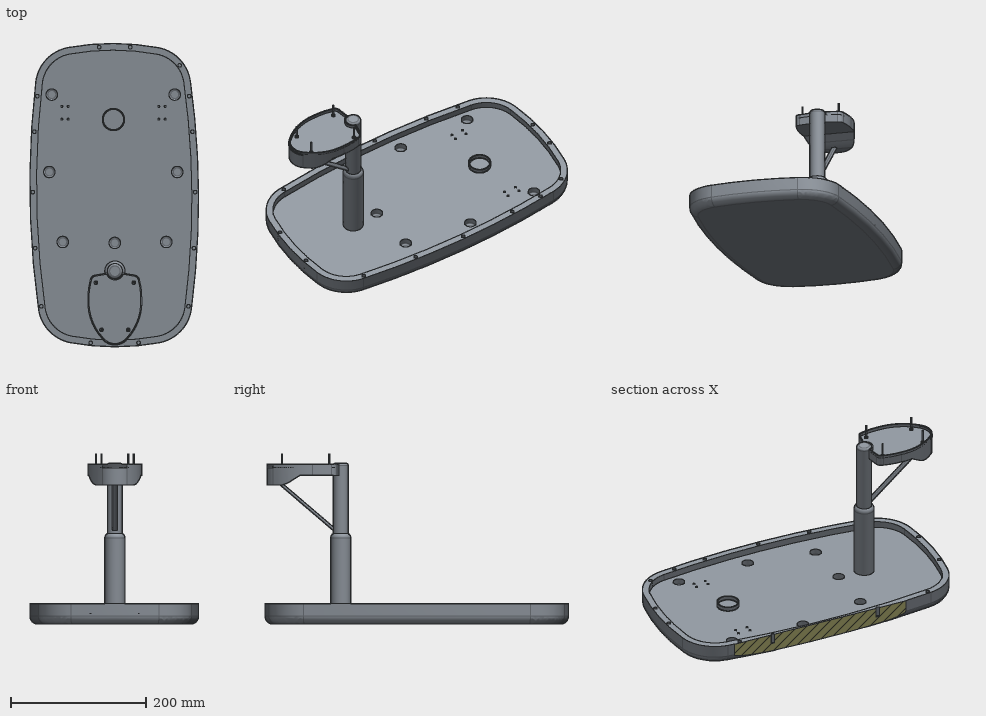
import cadquery as cq

TRAY_HEIGHT = 30.6
TRAY_FLOOR_Z = 20.6
TRAY_RIM_WIDTH = 10.0
TRAY_BOTTOM_RADIUS = 12.0
TRAY_CORNER_Y = 207.8
TRAY_BACK_LEFT_X = -110.7
TRAY_BACK_RIGHT_X = 106.6
TRAY_FRONT_LEFT_X = -105.8
TRAY_FRONT_RIGHT_X = 108.4
TRAY_END_BULGE = 16.45
TRAY_LEFT_BULGE = 16.4
TRAY_RIGHT_BULGE = 17.3
TRAY_CORNER_RADIUS = 59.4

RIM_HOLE_DIAMETER = 5.4
RIM_HOLE_DEPTH = 15.0
RIM_HOLES = [
    (-22.1, 218.6), (23.8, 218.6), (96.6, 191.7),
    (-113.5, 146.3), (110.8, 146.3),
    (-118.0, 93.7), (115.5, 93.7),
    (-120.2, 4.5), (119.6, 4.5),
    (-116.9, -78.2), (117.8, -78.2),
    (-107.7, -164.3), (109.7, -164.3),
    (-34.7, -218.2), (36.0, -218.2),
]

FOOT_HOLE_DIAMETER = 17.0
FOOT_HOLE_DEPTH = 11.0
FOOT_HOLE_BOTTOM_RADIUS = 2.5
FOOT_HOLES = [
    (-92.2, 148.6), (89.4, 148.6),
    (-95.8, 34.2), (93.2, 34.2),
    (-76.0, -69.2), (77.0, -69.2),
    (0.9, -70.6),
]

SCREW_HOLE_DIAMETER = 2.9
SCREW_HOLE_DEPTH = 8.0
SCREW_HOLE_SPACING_X = 9.4
SCREW_HOLE_SPACING_Y = 18.7
SCREW_HOLE_GROUPS = [(-72.7, 121.7), (70.6, 121.7)]

RING_OUTER_DIAMETER = 33.0
RING_INNER_DIAMETER = 30.0
RING_HEIGHT = 6.5
RING_CENTER = (-1.1, 111.7)

COLUMN_X = 1.0
COLUMN_Y = -112.3
TUBE_DIAMETER = 30.0
TUBE_TOP_Z = 135.0
TUBE_TOP_RADIUS = 7.5
POST_DIAMETER = 22.5
POST_TOP_Z = 238.0
POST_TOP_RADIUS = 3.5

HEAD_TOP_Z = 236.4
HEAD_BACK_DEPTH = 16.4
HEAD_FRONT_DEPTH = 31.0
HEAD_HALF_WIDTH = 39.8
HEAD_WIDEST_Y = -42.0
HEAD_BACK_Y = -0.8
HEAD_SHOULDER = (29.5, -5.8)
HEAD_SHOULDER_MID = (34.0, -8.3)
HEAD_SIDE_START = (36.5, -14.0)
HEAD_SIDE_BACK_MID = (39.2, -28.0)
HEAD_SIDE_FRONT_MID = (34.3, -75.0)
HEAD_NOSE_HALF_WIDTH = 18.2
HEAD_NOSE_START_Y = -100.2
HEAD_NOSE_Y = -108.6
HEAD_RAMP_START_Y = -60.0
HEAD_RAMP_BEND = (-73.0, -24.5)
HEAD_RAMP_MID = (-80.0, -28.5)
HEAD_RAMP_END_Y = -89.0
HEAD_WALL = 1.7
HEAD_POCKET_DEPTH = 4.6

NOSE_BAND_TOP_DEPTH = 2.7
NOSE_BAND_HEIGHT = 2.7
NOSE_BAND_PROUD = 0.6

PIN_DIAMETER = 1.8
PIN_RISE = 15.0
PIN_SEAT_DIAMETER = 5.4
PIN_SEAT_DEPTH = 1.0
PINS = [(-28.0, -16.9), (28.0, -16.9), (-19.8, -86.7), (19.8, -86.7)]

STRUT_WIDTH = 8.0
STRUT_THICKNESS = 4.4
STRUT_LOW = (-11.0, 141.0)
STRUT_HIGH = (-86.4, 205.5)
STRUT_OVERRUN = 8.0


def column_plane(z):
    return cq.Workplane("XY", origin=(COLUMN_X, COLUMN_Y, z))


def screw_hole_places():
    half_x = SCREW_HOLE_SPACING_X / 2
    half_y = SCREW_HOLE_SPACING_Y / 2
    return [
        (x + side_x * half_x, y + side_y * half_y)
        for x, y in SCREW_HOLE_GROUPS
        for side_x in (-1, 1)
        for side_y in (-1, 1)
    ]


def blind_holes(places, diameter, top_z, depth):
    """Cutters for flat holes that go down from top_z."""
    level = cq.Workplane("XY", origin=(0, 0, top_z))
    return level.pushPoints(places).circle(diameter / 2).extrude(-depth)


def tray_block(inset, bottom_z):
    """Block with the tray's four bowed sides moved in by the inset, up to the rim height."""
    front_left = (TRAY_FRONT_LEFT_X, -TRAY_CORNER_Y)
    front_right = (TRAY_FRONT_RIGHT_X, -TRAY_CORNER_Y)
    back_right = (TRAY_BACK_RIGHT_X, TRAY_CORNER_Y)
    back_left = (TRAY_BACK_LEFT_X, TRAY_CORNER_Y)
    outline = (
        cq.Workplane("XY", origin=(0, 0, bottom_z))
        .moveTo(*front_left)
        .sagittaArc(front_right, -TRAY_END_BULGE)
        .sagittaArc(back_right, -TRAY_RIGHT_BULGE)
        .sagittaArc(back_left, -TRAY_END_BULGE)
        .sagittaArc(front_left, -TRAY_LEFT_BULGE)
        .close()
    )
    if inset:
        outline = outline.offset2D(-inset)
    block = outline.extrude(TRAY_HEIGHT - bottom_z)
    return block.edges("|Z").fillet(TRAY_CORNER_RADIUS - inset)


def make_tray():
    body = tray_block(inset=0, bottom_z=0).faces("<Z").edges().fillet(TRAY_BOTTOM_RADIUS)
    body = body.cut(tray_block(TRAY_RIM_WIDTH, TRAY_FLOOR_Z))
    body = body.cut(blind_holes(RIM_HOLES, RIM_HOLE_DIAMETER, TRAY_HEIGHT, RIM_HOLE_DEPTH))
    body = body.cut(blind_holes(screw_hole_places(), SCREW_HOLE_DIAMETER, TRAY_FLOOR_Z, SCREW_HOLE_DEPTH))
    foot_cutter = blind_holes(FOOT_HOLES, FOOT_HOLE_DIAMETER, TRAY_FLOOR_Z, FOOT_HOLE_DEPTH)
    return body.cut(foot_cutter.faces("<Z").edges().fillet(FOOT_HOLE_BOTTOM_RADIUS))


def make_ring():
    return (
        cq.Workplane("XY", origin=(*RING_CENTER, TRAY_FLOOR_Z))
        .circle(RING_OUTER_DIAMETER / 2)
        .circle(RING_INNER_DIAMETER / 2)
        .extrude(RING_HEIGHT)
    )


def make_tube():
    tube = column_plane(TRAY_FLOOR_Z).circle(TUBE_DIAMETER / 2).extrude(TUBE_TOP_Z - TRAY_FLOOR_Z)
    tube = tube.faces(">Z").edges().fillet(TUBE_TOP_RADIUS)
    bore = column_plane(TRAY_FLOOR_Z).circle(POST_DIAMETER / 2).extrude(TUBE_TOP_Z - TRAY_FLOOR_Z)
    return tube.cut(bore)


def make_post():
    post = column_plane(TRAY_FLOOR_Z).circle(POST_DIAMETER / 2).extrude(POST_TOP_Z - TRAY_FLOOR_Z)
    return post.faces(">Z").edges().fillet(POST_TOP_RADIUS)


def mirrored(point):
    return (-point[0], point[1])


def head_outline(workplane):
    """Plan of the head: straight back edge, bowed sides and a round nose."""
    widest = (HEAD_HALF_WIDTH, HEAD_WIDEST_Y)
    nose_start = (HEAD_NOSE_HALF_WIDTH, HEAD_NOSE_START_Y)
    return (
        workplane.moveTo(0, HEAD_BACK_Y)
        .lineTo(*HEAD_SHOULDER)
        .threePointArc(HEAD_SHOULDER_MID, HEAD_SIDE_START)
        .threePointArc(HEAD_SIDE_BACK_MID, widest)
        .threePointArc(HEAD_SIDE_FRONT_MID, nose_start)
        .threePointArc((0, HEAD_NOSE_Y), mirrored(nose_start))
        .threePointArc(mirrored(HEAD_SIDE_FRONT_MID), mirrored(widest))
        .threePointArc(mirrored(HEAD_SIDE_BACK_MID), mirrored(HEAD_SIDE_START))
        .threePointArc(mirrored(HEAD_SHOULDER_MID), mirrored(HEAD_SHOULDER))
        .close()
    )


def make_head_block():
    """Solid head without pocket or holes: deep under the nose, thin toward the column."""
    block = head_outline(column_plane(HEAD_TOP_Z)).extrude(-HEAD_FRONT_DEPTH)
    under_back = (
        cq.Workplane("YZ", origin=(COLUMN_X, COLUMN_Y, HEAD_TOP_Z))
        .moveTo(0, -HEAD_BACK_DEPTH)
        .lineTo(HEAD_RAMP_START_Y, -HEAD_BACK_DEPTH)
        .lineTo(*HEAD_RAMP_BEND)
        .threePointArc(HEAD_RAMP_MID, (HEAD_RAMP_END_Y, -HEAD_FRONT_DEPTH))
        .lineTo(0, -HEAD_FRONT_DEPTH)
        .close()
        .extrude(2 * HEAD_HALF_WIDTH, both=True)
    )
    return block.cut(under_back)


def make_head():
    head = make_head_block().union(make_nose_band())
    floor_z = HEAD_TOP_Z - HEAD_POCKET_DEPTH
    pocket = head_outline(column_plane(floor_z)).offset2D(-HEAD_WALL).extrude(HEAD_POCKET_DEPTH)
    collar = column_plane(floor_z).circle(POST_DIAMETER / 2 + HEAD_WALL).extrude(HEAD_POCKET_DEPTH)
    post_hole = column_plane(0).circle(POST_DIAMETER / 2).extrude(POST_TOP_Z)
    seats = column_plane(floor_z).pushPoints(PINS).circle(PIN_SEAT_DIAMETER / 2).extrude(-PIN_SEAT_DEPTH)
    return head.cut(pocket.cut(collar)).cut(post_hole).cut(seats)


def make_nose_band():
    """Slightly raised band across the nose, just below the top edge."""
    nose_start = (HEAD_NOSE_HALF_WIDTH, HEAD_NOSE_START_Y)
    proud_y = -NOSE_BAND_PROUD
    return (
        column_plane(HEAD_TOP_Z - NOSE_BAND_TOP_DEPTH)
        .moveTo(*nose_start)
        .threePointArc((0, HEAD_NOSE_Y), mirrored(nose_start))
        .line(0, proud_y)
        .threePointArc((0, HEAD_NOSE_Y + proud_y), (HEAD_NOSE_HALF_WIDTH, HEAD_NOSE_START_Y + proud_y))
        .close()
        .extrude(-NOSE_BAND_HEIGHT)
    )


def make_pins():
    bottom_z = HEAD_TOP_Z - HEAD_POCKET_DEPTH - PIN_SEAT_DEPTH
    length = HEAD_TOP_Z + PIN_RISE - bottom_z
    return [
        column_plane(bottom_z).center(*place).circle(PIN_DIAMETER / 2).extrude(length)
        for place in PINS
    ]


def make_strut(post, head_block):
    """Flat bar with rounded edges from the front of the post up to the underside of the head."""
    low = cq.Vector(COLUMN_X, COLUMN_Y + STRUT_LOW[0], STRUT_LOW[1])
    high = cq.Vector(COLUMN_X, COLUMN_Y + STRUT_HIGH[0], STRUT_HIGH[1])
    along = high - low
    bar = (
        cq.Workplane(cq.Plane(origin=low, xDir=(1, 0, 0), normal=along))
        .workplane(offset=-STRUT_OVERRUN)
        .slot2D(STRUT_WIDTH, STRUT_THICKNESS)
        .extrude(along.Length + 2 * STRUT_OVERRUN)
    )
    return bar.cut(post).cut(head_block)


tray = make_tray()
ring = make_ring()
tube = make_tube()
post = make_post()
head = make_head()
pins = make_pins()
strut = make_strut(post, make_head_block())

result = cq.Compound.makeCompound(
    [
        tray.val(),
        ring.val(),
        tube.val(),
        post.val(),
        head.val(),
        strut.val(),
        *[pin.val() for pin in pins],
    ]
)